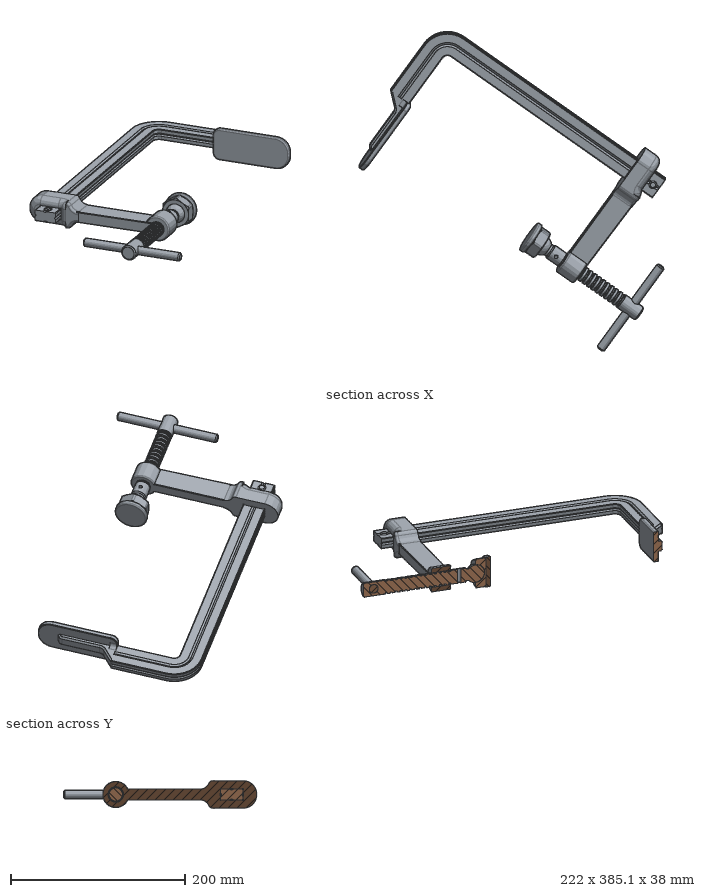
import cadquery as cq
import math


RAIL_WIDTH = 26.0
RAIL_THICKNESS = 13.0
RAIL_LENGTH = 317.0
BEND_OUTER_RADIUS = 33.0
RAIL_EDGE_CHAMFER = 0.8
FACE_GROOVE_WIDTH = 4.8
SIDE_GROOVE_WIDTH = 3.6
GROOVE_DEPTH = 1.2
HALF_RAIL = RAIL_WIDTH / 2
HALF_THICKNESS = RAIL_THICKNESS / 2

JAW_LENGTH = 95.0
JAW_HEIGHT = 38.0
JAW_THICKNESS = 6.2
JAW_INNER_CORNER = 8.0
JAW_TIP_CORNER = 17.0
JAW_EDGE_FILLET = 1.5
JAW_BACK_CHAMFER = 0.8
JAW_OVERHANG = 2.7
JAW_FACE_Y = RAIL_LENGTH - RAIL_WIDTH - JAW_OVERHANG
JAW_BACK_Y = JAW_FACE_Y + JAW_THICKNESS

THROAT = 120.0
SPINDLE_X = HALF_RAIL + THROAT
JAW_START_X = SPINDLE_X - JAW_LENGTH / 2

NOSE_START_X = 86.0
NOSE_HOLLOW_RADIUS = 8.0
RIB_START_X = 101.7
RIB_TIP_X = 153.0
RIB_TIP_RADIUS = 5.0
RIB_END_X = 159.0
RIB_HEIGHT = 4.9
RIB_CHAMFER = 2.0
RIB_TOP_Y = JAW_BACK_Y + RIB_HEIGHT
JAW_WELD_RADIUS = 5.0
JAW_WELD_END_X = 94.0

PIN_DIAMETER = 9.0
PIN_Y = 8.3
PIN_PROTRUSION = 1.0
PIN_CHAMFER = 1.5

ARM_TOP_Y = 39.6
HEAD_BOTTOM_Y = 15.6
HEAD_RADIUS = 16.0
HEAD_FILLET = 8.5
STEP_START_X = 9.8
STEP_END_X = 20.2
SHOULDER_BOTTOM_Y = 12.4
SHOULDER_ROUND_X = 21.6
SHOULDER_END_X = 36.0
SHOULDER_ROUND = 5.0
SHOULDER_FILLET = 3.0
ARM_ROOT_BOTTOM_Y = 13.1
ARM_TIP_BOTTOM_Y = 14.6
ARM_EDGE_CHAMFER = 0.8
BOSS_RADIUS = 15.0
BOSS_FILLET = 1.5

SPINDLE_DIAMETER = 17.8
THREAD_DIAMETER = 17.3
OVERALL_LENGTH = 385.13
SPINDLE_BOTTOM_Y = RAIL_LENGTH - OVERALL_LENGTH
SPINDLE_SHOULDER_Y = 58.8
SPINDLE_CHAMFER = 1.5
NECK_DIAMETER = 15.0
BALL_RADIUS = 11.3
BALL_Y = 70.0
THREAD_PITCH = 6.0
THREAD_DEPTH = 1.2
THREAD_COUNT = 14
THREAD_BOTTOM_Y = -42.6
THREAD_TOP_Y = THREAD_BOTTOM_Y + THREAD_COUNT * THREAD_PITCH
GROOVE_MOUTH = 3.0
GROOVE_ROOT = 1.6
CROSS_HOLE_DIAMETER = 4.0
CROSS_HOLE_Y = 49.8

HANDLE_LENGTH = 120.0
HANDLE_DIAMETER = 10.0
HANDLE_CHAMFER = 1.5
HANDLE_Y = -55.4

DISC_DIAMETER = 38.0
DISC_TOP_Y = 88.3
DISC_BOTTOM_Y = 82.4
DISC_FILLET = 1.5
NUT_ACROSS_FLATS = 32.2
NUT_BOTTOM_Y = 69.6
NUT_CORNER_FILLET = 2.5
NUT_CHAMFER_LENGTH = 1.3
NUT_FACE_RADIUS = 16.2


def slab(outline, bottom, top):
    """Extrude an XY outline between two Z heights."""
    return outline.extrude(top - bottom).translate((0, 0, bottom))


def y_cylinder(diameter, x, bottom, top):
    """A cylinder along Y."""
    return cq.Workplane("XZ", origin=(x, bottom, 0)).circle(diameter / 2).extrude(bottom - top)


def edges_near(x, y):
    """Selects the edge along Z that passes through a point of the XY plane."""
    return cq.selectors.BoxSelector((x - 1, y - 1, -1), (x + 1, y + 1, 1))


def rail_section():
    """Grooved bar section in the XZ plane, with a V groove in each of its four sides."""
    face = FACE_GROOVE_WIDTH / 2
    side = SIDE_GROOVE_WIDTH / 2
    groove_x = HALF_RAIL - GROOVE_DEPTH
    groove_z = HALF_THICKNESS - GROOVE_DEPTH
    corner_x = HALF_RAIL - RAIL_EDGE_CHAMFER
    corner_z = HALF_THICKNESS - RAIL_EDGE_CHAMFER
    quarter = [(HALF_RAIL, side), (HALF_RAIL, corner_z), (corner_x, HALF_THICKNESS), (face, HALF_THICKNESS)]
    upper = [(groove_x, 0)] + quarter + [(0, groove_z)] + [(-x, z) for x, z in reversed(quarter)]
    lower = [(-x, -z) for x, z in upper]
    return cq.Workplane("XZ").polyline(upper + lower).close()


def rail_bar():
    bend_radius = BEND_OUTER_RADIUS - HALF_RAIL
    bend_y = RAIL_LENGTH - BEND_OUTER_RADIUS
    path = (
        cq.Workplane("XY")
        .lineTo(0, bend_y)
        .radiusArc((bend_radius, bend_y + bend_radius), bend_radius)
        .lineTo(NOSE_START_X, bend_y + bend_radius)
    )
    return rail_section().sweep(path)


def jaw_nose():
    """Sloping end of the rail, running out into a rib on the back of the jaw plate."""
    inner_y = RAIL_LENGTH - RAIL_WIDTH
    outline = cq.Workplane("XY").polyline(
        [
            (NOSE_START_X, inner_y),
            (NOSE_START_X, RAIL_LENGTH),
            (RIB_START_X, RIB_TOP_Y),
            (RIB_TIP_X, RIB_TOP_Y),
            (RIB_END_X, inner_y),
        ]
    )
    nose = slab(outline.close(), -HALF_THICKNESS, HALF_THICKNESS)
    nose = nose.edges(edges_near(RIB_START_X, RIB_TOP_Y)).fillet(NOSE_HOLLOW_RADIUS)
    nose = nose.edges(edges_near(RIB_TIP_X, RIB_TOP_Y)).fillet(RIB_TIP_RADIUS)
    back_edges = cq.selectors.BoxSelector(
        (NOSE_START_X + 1, inner_y + 1, -RAIL_THICKNESS), (RIB_END_X, RAIL_LENGTH - 1, RAIL_THICKNESS)
    )
    return nose.edges("not |Z").edges(back_edges).chamfer(RIB_CHAMFER)


def jaw_plate():
    plate = (
        cq.Workplane("XY")
        .box(JAW_LENGTH, JAW_THICKNESS, JAW_HEIGHT)
        .translate((SPINDLE_X, JAW_FACE_Y + JAW_THICKNESS / 2, 0))
    )
    plate = plate.edges("|Y and <X").fillet(JAW_INNER_CORNER)
    plate = plate.edges("|Y and >X").fillet(JAW_TIP_CORNER)
    plate = plate.faces(">Y").edges().chamfer(JAW_BACK_CHAMFER)
    return plate.faces("<Y").edges().fillet(JAW_EDGE_FILLET)


def jaw_weld(side):
    """Concave corner piece between the jaw plate and one broad face of the rail."""
    reach = JAW_WELD_RADIUS
    mid = reach * (1 - math.cos(math.pi / 4))
    outline = (
        cq.Workplane("YZ", origin=(JAW_START_X, JAW_BACK_Y, side * HALF_THICKNESS))
        .lineTo(reach, 0)
        .threePointArc((mid, side * mid), (0, side * reach))
        .close()
    )
    return outline.extrude(JAW_WELD_END_X - JAW_START_X)


def make_rail():
    rail = rail_bar().union(jaw_nose()).union(jaw_plate())
    for side in (-1, 1):
        rail = rail.union(jaw_weld(side))
    pin_hole = cq.Workplane("XY").center(0, PIN_Y).circle(PIN_DIAMETER / 2).extrude(RAIL_THICKNESS, both=True)
    return rail.cut(pin_hole)


def make_stop_pin():
    half_length = HALF_THICKNESS + PIN_PROTRUSION
    pin = cq.Workplane("XY").center(0, PIN_Y).circle(PIN_DIAMETER / 2).extrude(half_length, both=True)
    return pin.faces("|Z").chamfer(PIN_PROTRUSION, PIN_CHAMFER)


def arm_head():
    """Round-ended block around the rail, with an S-shaped step down at its far end."""
    left = -HALF_RAIL - HEAD_RADIUS
    step_mid = ((STEP_START_X + STEP_END_X) / 2, (HEAD_BOTTOM_Y + SHOULDER_BOTTOM_Y) / 2)
    step_run = STEP_END_X - STEP_START_X
    step_drop = HEAD_BOTTOM_Y - SHOULDER_BOTTOM_Y
    step_radius = (step_run**2 + step_drop**2) / (4 * step_drop)
    outline = (
        cq.Workplane("XY")
        .moveTo(left, ARM_TOP_Y)
        .lineTo(left, HEAD_BOTTOM_Y)
        .lineTo(STEP_START_X, HEAD_BOTTOM_Y)
        .radiusArc(step_mid, step_radius)
        .radiusArc((STEP_END_X, SHOULDER_BOTTOM_Y), -step_radius)
        .lineTo(STEP_END_X, ARM_TOP_Y)
        .close()
    )
    round_end = y_cylinder(2 * HEAD_RADIUS, -HALF_RAIL, SHOULDER_BOTTOM_Y, ARM_TOP_Y)
    straight = cq.Workplane("XY").rect(STEP_END_X + HALF_RAIL, ARM_TOP_Y, centered=False)
    straight = slab(straight, -HEAD_RADIUS, HEAD_RADIUS).translate((-HALF_RAIL, 0, 0))
    envelope = round_end.union(straight)
    head = slab(outline, -HEAD_RADIUS, HEAD_RADIUS).intersect(envelope)
    lower_rim = cq.selectors.BoxSelector(
        (left - 1, SHOULDER_BOTTOM_Y - 1, -HEAD_RADIUS - 1), (STEP_END_X - 1, HEAD_BOTTOM_Y + 1, HEAD_RADIUS + 1)
    )
    return head.edges(lower_rim).edges("not |Z").fillet(HEAD_FILLET)


def arm_shoulder():
    """Neck-down from the head to the flat arm: a convex round flowing into a concave one."""
    run = SHOULDER_END_X - SHOULDER_ROUND_X
    drop = HEAD_RADIUS - HALF_THICKNESS
    hollow = (run**2 + drop**2) / (2 * drop) - SHOULDER_ROUND
    share = SHOULDER_ROUND / (SHOULDER_ROUND + hollow)
    meet_x = SHOULDER_ROUND_X + run * share
    meet_z = HEAD_RADIUS - drop * share
    outline = (
        cq.Workplane("XZ", origin=(0, ARM_TOP_Y, 0))
        .moveTo(STEP_END_X, HEAD_RADIUS)
        .lineTo(SHOULDER_ROUND_X, HEAD_RADIUS)
        .radiusArc((meet_x, meet_z), SHOULDER_ROUND)
        .radiusArc((SHOULDER_END_X, HALF_THICKNESS), -hollow)
        .lineTo(SHOULDER_END_X, -HALF_THICKNESS)
        .radiusArc((meet_x, -meet_z), -hollow)
        .radiusArc((SHOULDER_ROUND_X, -HEAD_RADIUS), SHOULDER_ROUND)
        .lineTo(STEP_END_X, -HEAD_RADIUS)
        .close()
    )
    shoulder = outline.extrude(ARM_TOP_Y - SHOULDER_BOTTOM_Y)
    return shoulder.faces("<Y").edges("not |Z").fillet(SHOULDER_FILLET)


def arm_beam():
    beam = (
        cq.Workplane("XY")
        .moveTo(STEP_END_X, ARM_TOP_Y)
        .lineTo(STEP_END_X, ARM_ROOT_BOTTOM_Y)
        .lineTo(SHOULDER_END_X, ARM_ROOT_BOTTOM_Y)
        .lineTo(SPINDLE_X, ARM_TIP_BOTTOM_Y)
        .lineTo(SPINDLE_X, ARM_TOP_Y)
        .close()
    )
    beam = slab(beam, -HALF_THICKNESS, HALF_THICKNESS)
    return beam.faces("|Z").edges("not |Y").chamfer(ARM_EDGE_CHAMFER)


def make_arm():
    boss = y_cylinder(2 * BOSS_RADIUS, SPINDLE_X, HEAD_BOTTOM_Y, ARM_TOP_Y).edges().fillet(BOSS_FILLET)
    arm = arm_head().union(arm_shoulder()).union(arm_beam()).union(boss)
    rail_window = cq.Workplane("XY").box(RAIL_WIDTH, 4 * HEAD_RADIUS, RAIL_THICKNESS)
    arm = arm.cut(rail_window.translate((0, HEAD_BOTTOM_Y, 0)))
    return arm.cut(y_cylinder(THREAD_DIAMETER, SPINDLE_X, 0, ARM_TOP_Y + 1))


def spindle_blank():
    """Turned shape: chamfered shaft, neck and ball, about the spindle axis."""
    shaft = SPINDLE_DIAMETER / 2
    thread = THREAD_DIAMETER / 2
    neck = NECK_DIAMETER / 2
    neck_ball_y = BALL_Y - math.sqrt(BALL_RADIUS**2 - neck**2)
    profile = (
        cq.Workplane("XY")
        .moveTo(0, SPINDLE_BOTTOM_Y)
        .lineTo(shaft - SPINDLE_CHAMFER, SPINDLE_BOTTOM_Y)
        .lineTo(shaft, SPINDLE_BOTTOM_Y + SPINDLE_CHAMFER)
        .lineTo(shaft, THREAD_BOTTOM_Y)
        .lineTo(thread, THREAD_BOTTOM_Y)
        .lineTo(thread, THREAD_TOP_Y)
        .lineTo(shaft, THREAD_TOP_Y)
        .lineTo(shaft, SPINDLE_SHOULDER_Y - SPINDLE_CHAMFER)
        .lineTo(neck, SPINDLE_SHOULDER_Y)
        .lineTo(neck, neck_ball_y)
        .threePointArc((BALL_RADIUS, BALL_Y), (0, BALL_Y + BALL_RADIUS))
        .close()
    )
    return profile.revolve(360, (0, 0, 0), (0, 1, 0))


def thread_groove(middle_y):
    """One ring groove of trapezoidal section, cut into the threaded stretch."""
    crest = THREAD_DIAMETER / 2
    root = crest - THREAD_DEPTH
    profile = (
        cq.Workplane("XY")
        .moveTo(root, middle_y - GROOVE_ROOT / 2)
        .lineTo(crest, middle_y - GROOVE_MOUTH / 2)
        .lineTo(crest, middle_y + GROOVE_MOUTH / 2)
        .lineTo(root, middle_y + GROOVE_ROOT / 2)
        .close()
    )
    return profile.revolve(360, (0, 0, 0), (0, 1, 0))


def make_spindle():
    spindle = spindle_blank()
    for index in range(THREAD_COUNT):
        spindle = spindle.cut(thread_groove(THREAD_BOTTOM_Y + (index + 0.5) * THREAD_PITCH))
    cross_hole = cq.Workplane("XY").center(0, CROSS_HOLE_Y).circle(CROSS_HOLE_DIAMETER / 2)
    spindle = spindle.cut(cross_hole.extrude(SPINDLE_DIAMETER, both=True))
    handle_hole = cq.Workplane("YZ").center(HANDLE_Y, 0).circle(HANDLE_DIAMETER / 2)
    spindle = spindle.cut(handle_hole.extrude(SPINDLE_DIAMETER, both=True))
    return spindle.translate((SPINDLE_X, 0, 0))


def make_handle():
    handle = cq.Workplane("YZ", origin=(SPINDLE_X, HANDLE_Y, 0)).circle(HANDLE_DIAMETER / 2)
    return handle.extrude(HANDLE_LENGTH / 2, both=True).faces("|X").chamfer(HANDLE_CHAMFER)


def make_pad_disc():
    disc = y_cylinder(DISC_DIAMETER, SPINDLE_X, DISC_BOTTOM_Y, DISC_TOP_Y)
    return disc.edges().fillet(DISC_FILLET)


def make_pad_nut():
    """Hexagonal socket that holds the spindle ball, with its corners toward +Z and -Z."""
    across_corners = NUT_ACROSS_FLATS / math.cos(math.pi / 6)
    hexagon = cq.Workplane("XZ", origin=(SPINDLE_X, NUT_BOTTOM_Y, 0)).transformed(rotate=(0, 0, 90))
    nut = hexagon.polygon(6, across_corners).extrude(NUT_BOTTOM_Y - DISC_BOTTOM_Y)
    nut = nut.edges("|Y").fillet(NUT_CORNER_FILLET)
    rounder = y_cylinder(across_corners, SPINDLE_X, NUT_BOTTOM_Y, DISC_BOTTOM_Y)
    rounder = rounder.faces("|Y").chamfer(NUT_CHAMFER_LENGTH, across_corners / 2 - NUT_FACE_RADIUS)
    nut = nut.intersect(rounder)
    socket = cq.Workplane("XY").sphere(BALL_RADIUS).translate((SPINDLE_X, BALL_Y, 0))
    return nut.cut(socket)


rail = make_rail()
stop_pin = make_stop_pin()
arm = make_arm()
spindle = make_spindle()
handle = make_handle()
pad_disc = make_pad_disc()
pad_nut = make_pad_nut()

bodies = [rail, stop_pin, arm, spindle, handle, pad_disc, pad_nut]
result = cq.Compound.makeCompound([body.solids().val() for body in bodies])